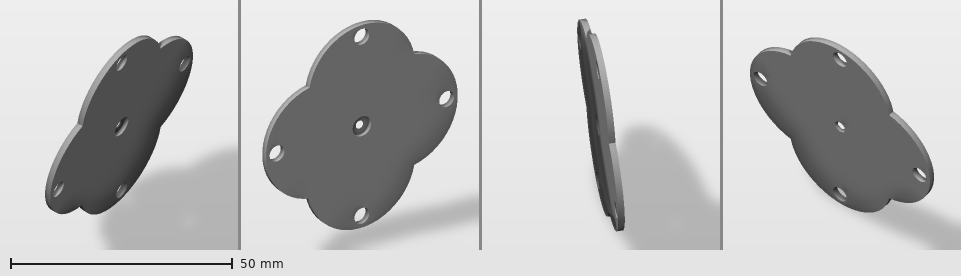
import cadquery as cq

overall_width = 52.0
thickness = 1.5
lobe_radius = 14.45
lobe_offset = overall_width / 2 - lobe_radius

mount_hole_diameter = 4.0
mount_hole_offset = 23.0

countersink_diameter = 3.0
throat_diameter = 2.0
countersink_depth = (countersink_diameter - throat_diameter) / 2
recess_diameter = 5.0


def four_around(distance):
    """Points at the given distance from the centre along +Y, +Z, -Y and -Z."""
    return [(distance, 0), (0, distance), (-distance, 0), (0, -distance)]


def discs(diameter, offset):
    """Four discs through the plate thickness, spaced evenly around the centre."""
    joined = cq.Workplane("YZ")
    for centre in four_around(offset):
        disc = cq.Workplane("YZ").center(*centre).circle(diameter / 2).extrude(thickness)
        joined = joined.union(disc)
    return joined


def centre_hole():
    """Countersink and recess, one behind the other along X."""
    countersink = cq.Workplane(
        cq.Solid.makeCone(
            countersink_diameter / 2,
            throat_diameter / 2,
            countersink_depth,
            dir=cq.Vector(1, 0, 0),
        )
    )
    recess = (
        cq.Workplane("YZ", origin=(countersink_depth, 0, 0))
        .circle(recess_diameter / 2)
        .extrude(thickness - countersink_depth)
    )
    return countersink.union(recess)


plate = discs(2 * lobe_radius, lobe_offset)
mount_holes = discs(mount_hole_diameter, mount_hole_offset)
result = plate.cut(mount_holes).cut(centre_hole())